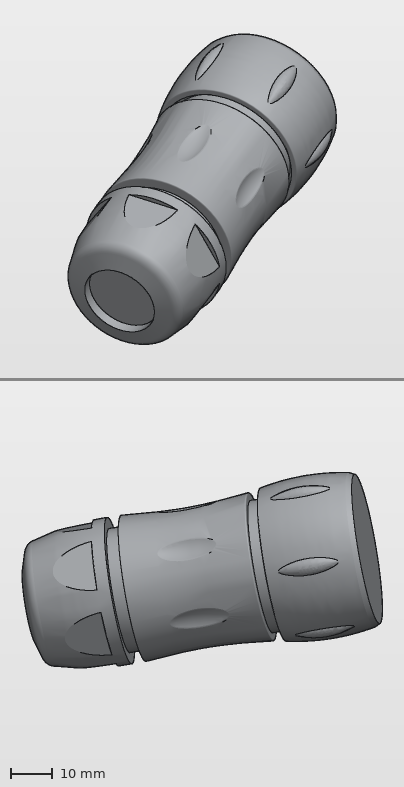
import cadquery as cq
import math


total_length = 82.2
ring_start = 59.3
grip_end = 56.5
grip_start = 25.15
cap_end = 21.9
flat_end = 18.65
cap_corner_end = 3.8
cap_cone_end = 1.3

ring_radius = 19.7
ring_start_radius = 18.6
ring_edge_radius = 18.7
ring_face_radius = 18.1
ring_bore_radius = 17.2
ring_bore_depth = 1.65
ring_corner_length = 1.3
ring_bore_end = ring_start + ring_bore_depth
ring_corner_end = total_length - ring_corner_length
ring_middle = (ring_start + ring_corner_end) / 2

rear_neck_radius = 16.0
front_neck_radius = 15.0
grip_rear_radius = 18.0
grip_front_radius = 17.75
grip_waist_radius = 16.9
grip_waist = 41.5
grip_waist_curve = 131.5

cap_radius = 17.75
cap_bulge_station = 8.5
cap_bulge_radius = 16.48
cap_corner_radius = 15.3
cap_cone_radius = 13.2
cap_corner_bulge = (14.6, 2.2)
recess_radius = 9.2
recess_depth = 2.6
flat_distance = 16.5

rim_round = 0.3
tolerance = 0.01

repeats = 6
step_angle = 360 / repeats
lobe_radius = 2.4
lobe_half_length = 9.2
lobe_tip_radius = 20.7
dimple_station = 41.1
dimple_depth = 0.8
dimple_width = 5.3
dimple_length = 14.3
dimple_edge_round = 0.65


def spindle(belly_radius, half_length, axis_distance, station):
    """Pointed spindle parallel to Y, bulging by belly_radius, its axis at the given X."""
    return (
        cq.Workplane("XY")
        .moveTo(0, -half_length)
        .threePointArc((belly_radius, 0), (0, half_length))
        .close()
        .revolve(360, (0, 0, 0), (0, 1, 0))
        .translate((axis_distance, station, 0))
    )


def around_axis(shape, first_angle):
    """Copies of a shape evenly spaced around Y."""
    return [
        shape.rotate((0, 0, 0), (0, 1, 0), first_angle + i * step_angle)
        for i in range(repeats)
    ]


def turned_body():
    """Solid of revolution with the cap, both necks, the grip and the coupling ring."""
    return (
        cq.Workplane("XY")
        .moveTo(0, 0)
        .lineTo(recess_radius, 0)
        .lineTo(cap_cone_radius, cap_cone_end)
        .threePointArc(cap_corner_bulge, (cap_corner_radius, cap_corner_end))
        .threePointArc((cap_bulge_radius, cap_bulge_station), (cap_radius, cap_end))
        .lineTo(front_neck_radius, cap_end)
        .lineTo(front_neck_radius, grip_start)
        .lineTo(grip_front_radius, grip_start)
        .threePointArc((grip_waist_radius, grip_waist), (grip_rear_radius, grip_end))
        .lineTo(rear_neck_radius, grip_end)
        .lineTo(rear_neck_radius, ring_bore_end)
        .lineTo(ring_bore_radius, ring_bore_end)
        .lineTo(ring_bore_radius, ring_start)
        .lineTo(ring_start_radius, ring_start)
        .threePointArc((ring_radius, ring_middle), (ring_edge_radius, ring_corner_end))
        .lineTo(ring_face_radius, total_length)
        .lineTo(0, total_length)
        .close()
        .revolve(360, (0, 0, 0), (0, 1, 0))
    )


def round_rim(body, station, radius):
    """Small round on the circular rim with the given radius at the given Y."""
    rims = [
        edge for edge in body.edges("%CIRCLE").vals()
        if abs(edge.Center().y - station) < tolerance and abs(edge.radius() - radius) < tolerance
    ]
    return body.newObject(rims).fillet(rim_round)


def dimple_cutter():
    """Spindle that opens about dimple_width x dimple_length on the grip waist."""
    half_width = dimple_width / 2
    edge_height = math.sqrt(grip_waist_radius**2 - half_width**2)
    floor = grip_waist_radius - dimple_depth
    rise = edge_height - floor
    belly = (half_width**2 + rise**2) / (2 * rise)
    axis_distance = floor + belly
    half_length = dimple_length / 2
    end_rise = dimple_depth + half_length**2 / (2 * grip_waist_curve)
    arc_radius = (half_length**2 + end_rise**2) / (2 * end_rise)
    spindle_half = math.sqrt(arc_radius**2 - (arc_radius - belly) ** 2)
    return spindle(belly, spindle_half, axis_distance, dimple_station)


def is_dimple_rim(edge):
    """True for edges that lie wholly within the dimpled stretch of the grip."""
    box = edge.BoundingBox()
    return box.ymin > dimple_station - dimple_length and box.ymax < dimple_station + dimple_length


body = turned_body()

body = round_rim(body, grip_start, grip_front_radius)
body = round_rim(body, grip_end, grip_rear_radius)
body = round_rim(body, ring_start, ring_start_radius)

recess = cq.Workplane("XZ").circle(recess_radius).extrude(-recess_depth)
body = body.cut(recess)

flat_cutter = cq.Workplane("XY").box(
    cap_radius, flat_end, 2 * cap_radius, centered=(False, False, True)
).translate((flat_distance, 0, 0))
for cutter in around_axis(flat_cutter, step_angle / 2):
    body = body.cut(cutter)

for cutter in around_axis(dimple_cutter(), step_angle / 2):
    body = body.cut(cutter)
dimple_rims = [e for e in body.edges().vals() if is_dimple_rim(e)]
body = body.newObject(dimple_rims).fillet(dimple_edge_round)

lobe = spindle(lobe_radius, lobe_half_length, lobe_tip_radius - lobe_radius, ring_middle)
for copy in around_axis(lobe, 0):
    body = body.union(copy)

result = body